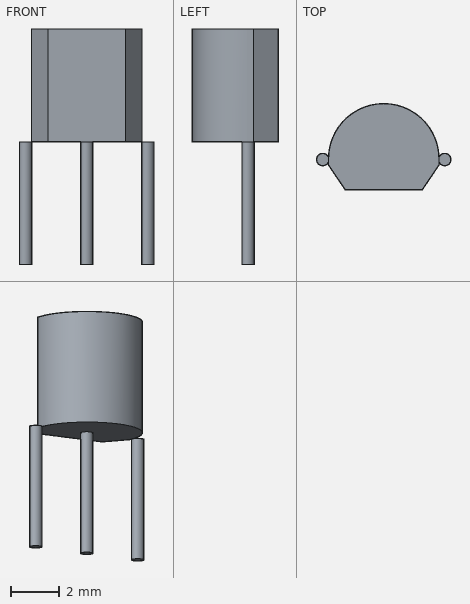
import cadquery as cq

total_height = 9.8
body_height = 4.69
body_depth = 3.6
back_radius = 2.3
side_wall_depth = 0.25
front_flat_width = 3.2
lead_diameter = 0.52
lead_pitch = 2.54
lead_count = 3
lead_row_y = -0.03

lead_length = total_height - body_height
front_y = back_radius - body_depth
half_flat = front_flat_width / 2


def make_housing():
    """Transistor body: half-round back, straight sides, bevelled corners, flat front."""
    return (
        cq.Workplane("XY")
        .moveTo(back_radius, 0)
        .threePointArc((0, back_radius), (-back_radius, 0))
        .lineTo(-back_radius, -side_wall_depth)
        .lineTo(-half_flat, front_y)
        .lineTo(half_flat, front_y)
        .lineTo(back_radius, -side_wall_depth)
        .close()
        .extrude(body_height)
    )


def make_lead(x):
    """Round lead hanging from the underside of the housing."""
    return cq.Workplane("XY").center(x, lead_row_y).circle(lead_diameter / 2).extrude(-lead_length)


housing = make_housing()

leads = []
for index in range(lead_count):
    lead_x = (index - (lead_count - 1) / 2) * lead_pitch
    leads.append(make_lead(lead_x).val())

result = cq.Compound.makeCompound([housing.val(), *leads])